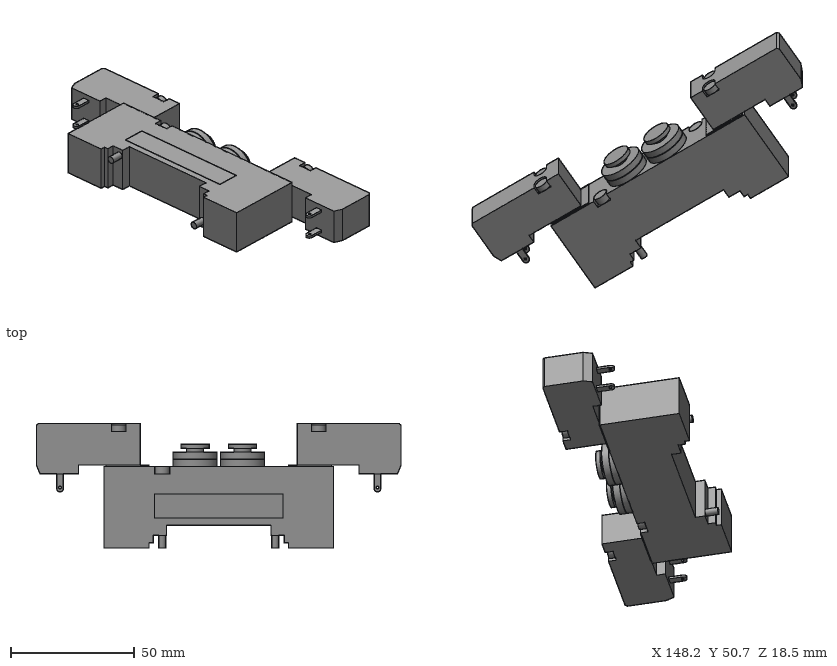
import cadquery as cq

SIDES = (-1, 1)

housing_length = 93.4
housing_height = 18.5
housing_back = 33.2
foot_inner_x = 28.3
ledge_inner_x = 26.5
recess_half_length = 21.2
foot_step_y = 2.1
ledge_y = 5.2
recess_y = 9.2

pad_thickness = 0.5
pad_height = 17.0
pad_outer_x = 45.8

label_length = 52.3
label_width = 9.8
label_center_y = 17.0
label_depth = 0.1

screw_x = 23.0
screw_head_diameter = 6.0
screw_head_length = 3.1
screw_slot_width = 6.2
shank_diameter = 3.0
screw_z = 6.2

coil_inner_x = 31.9
coil_outer_x = 74.1
coil_height = 14.8
coil_back = 50.7
coil_seat_y = housing_back + pad_thickness
coil_foot_inner_x = 56.9
coil_foot_length = 3.5
coil_front_chamfer = 1.5
coil_back_chamfer = 0.9
coil_foot_y = coil_seat_y - coil_foot_length

coil_screw_x = 40.6
coil_screw_diameter = 5.8
coil_slot_width = 6.0
coil_slot_depth = 3.3
coil_screw_setback = 0.7
coil_screw_rise = 0.3
coil_screw_z = coil_height / 2 + coil_screw_rise - coil_screw_diameter / 2

terminal_x = 64.5
terminal_z = 4.7
terminal_width = 2.8
terminal_thickness = 1.0
terminal_length = 7.3
terminal_hole_diameter = 1.0
terminal_hole_inset = 1.8

fitting_x = 9.6
fitting_diameter = 18.0
fitting_length = 5.8
neck_diameter = 7.0
neck_length = 1.5
groove_depth = 0.1
groove_width = 0.1
groove_offset = 2.8
flange_diameter = 11.5
flange_thickness = 1.8


def rod(diameter, x, z, front, back):
    """Cylinder along Y from front to back."""
    return cq.Workplane("XZ", origin=(x, front, z)).circle(diameter / 2).extrude(front - back)


def screw_slot(width, x, z, side, front, back, face_z):
    """Round-bottomed slot, open at the back and at the top (side 1) or bottom (side -1) face."""
    wall_height = face_z - z
    walls = (
        cq.Workplane("XY")
        .box(width, back - front, wall_height)
        .translate((x, (front + back) / 2, side * (z + wall_height / 2)))
    )
    return rod(width, x, side * z, front, back).union(walls)


def make_housing():
    half_length = housing_length / 2
    right_outline = [
        (recess_half_length, recess_y),
        (recess_half_length, ledge_y),
        (ledge_inner_x, ledge_y),
        (ledge_inner_x, foot_step_y),
        (foot_inner_x, foot_step_y),
        (foot_inner_x, 0),
        (half_length, 0),
        (half_length, housing_back),
    ]
    left_outline = [(-x, y) for x, y in reversed(right_outline)]
    body = (
        cq.Workplane("XY")
        .polyline(right_outline + left_outline)
        .close()
        .extrude(housing_height / 2, both=True)
    )

    label = cq.Workplane("XY").box(label_length, label_width, 2 * label_depth)
    body = body.cut(label.translate((0, label_center_y, housing_height / 2)))

    pad_length = pad_outer_x - foot_inner_x
    for side in SIDES:
        pad = cq.Workplane("XY").box(pad_length, pad_thickness, pad_height)
        pad_x = side * (pad_outer_x + foot_inner_x) / 2
        body = body.union(pad.translate((pad_x, housing_back + pad_thickness / 2, 0)))

    head_front = housing_back - screw_head_length
    for side in SIDES:
        x = side * screw_x
        z = -side * screw_z
        slot = screw_slot(
            screw_slot_width, x, screw_z, -side, head_front, housing_back, housing_height / 2
        )
        body = body.cut(slot)
        body = body.union(rod(screw_head_diameter, x, z, head_front, housing_back))
        body = body.union(rod(shank_diameter, x, z, 0, ledge_y))
    return body


def make_terminal(x, z):
    """Flat blade with a fully rounded tip and a small hole near it."""
    tip_radius = terminal_width / 2
    straight_length = terminal_length - tip_radius
    return (
        cq.Workplane("XY", origin=(x, coil_foot_y, z - terminal_thickness / 2))
        .moveTo(tip_radius, 0)
        .lineTo(-tip_radius, 0)
        .lineTo(-tip_radius, -straight_length)
        .threePointArc((0, -terminal_length), (tip_radius, -straight_length))
        .close()
        .moveTo(0, terminal_hole_inset - terminal_length)
        .circle(terminal_hole_diameter / 2)
        .extrude(terminal_thickness)
    )


def make_coil(end):
    """Coil at the left (end -1) or right (end 1) of the housing."""
    outline = [
        (coil_inner_x, coil_seat_y),
        (coil_foot_inner_x, coil_seat_y),
        (coil_foot_inner_x, coil_foot_y),
        (coil_outer_x - coil_front_chamfer, coil_foot_y),
        (coil_outer_x, coil_seat_y),
        (coil_outer_x, coil_back - coil_back_chamfer),
        (coil_outer_x - coil_back_chamfer, coil_back),
        (coil_inner_x, coil_back),
    ]
    coil = (
        cq.Workplane("XY")
        .polyline([(end * x, y) for x, y in outline])
        .close()
        .extrude(coil_height / 2, both=True)
    )

    x = end * coil_screw_x
    slot_front = coil_back - coil_slot_depth
    head_back = coil_back - coil_screw_setback
    for side in SIDES:
        slot = screw_slot(
            coil_slot_width, x, coil_screw_z, side, slot_front, coil_back, coil_height / 2
        )
        coil = coil.cut(slot)
        coil = coil.union(rod(coil_screw_diameter, x, side * coil_screw_z, slot_front, head_back))
        coil = coil.union(make_terminal(end * terminal_x, side * terminal_z))
    return coil


def make_fitting(x):
    """Port fitting: a wide grooved base, a neck and a release flange."""
    base_back = housing_back + fitting_length
    neck_back = base_back + neck_length
    base = rod(fitting_diameter, x, 0, housing_back, base_back)
    groove_front = housing_back + groove_offset
    groove_back = groove_front + groove_width
    groove_floor = rod(fitting_diameter - 2 * groove_depth, x, 0, groove_front, groove_back)
    groove = rod(fitting_diameter, x, 0, groove_front, groove_back).cut(groove_floor)
    base = base.cut(groove)
    neck = rod(neck_diameter, x, 0, base_back, neck_back)
    flange = rod(flange_diameter, x, 0, neck_back, neck_back + flange_thickness)
    return base.union(neck).union(flange)


housing = make_housing()
coils = [make_coil(end) for end in SIDES]
fittings = [make_fitting(side * fitting_x) for side in SIDES]

result = cq.Compound.makeCompound([body.val() for body in [housing, *coils, *fittings]])